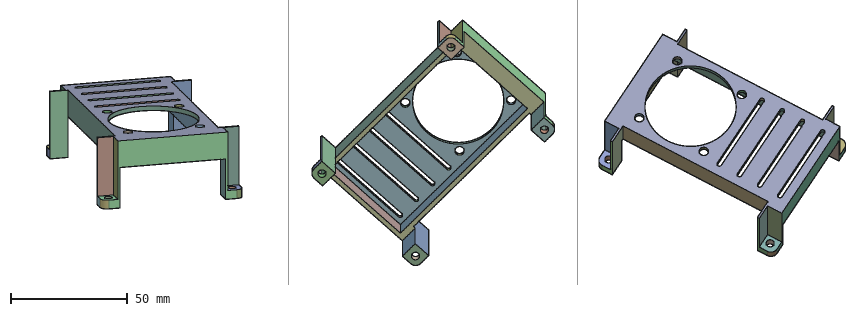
import cadquery as cq

length = 88.0
width = 63.0
height = 30.0

leg_size = 8.0
notch_size = 7.0
foot_height = 4.0
foot_radius = 3.0
foot_hole_diameter = 3.4
foot_hole_inset = 4.0

wall = 2.0
skirt_depth = 12.0
hood_front = leg_size - width / 2
leg_gap_back = 1.0
hood_back = width / 2 - leg_size - leg_gap_back
hood_width = hood_back - hood_front
hood_center_y = (hood_front + hood_back) / 2
cavity_end_wall = 7.0

fan_x = 16.0
fan_diameter = 39.0
fan_screw_pitch = 32.0
fan_screw_diameter = 4.0

slot_count = 4
slot_pitch = 10.0
slot_width = 2.0
slot_margin = 2 * wall
slot_length = hood_width - 2 * slot_margin
first_slot_x = -length / 2 + slot_margin + slot_width / 2


def block(x_min, x_max, y_min, y_max, z_min, z_max):
    """Axis-aligned box between the given limits."""
    size = (x_max - x_min, y_max - y_min, z_max - z_min)
    return cq.Workplane("XY").box(*size, centered=False).translate((x_min, y_min, z_min))


def make_hood():
    """Open-bottomed hood whose ends bridge the gap to the back legs."""
    half = length / 2
    skirt_bottom = height - skirt_depth
    hood = block(-half, half, hood_front, hood_back, skirt_bottom, height)
    leg_inner_y = width / 2 - leg_size
    for side in (-1, 1):
        x_min, x_max = sorted((side * (half - leg_size), side * half))
        hood = hood.union(block(x_min, x_max, hood_front, leg_inner_y, skirt_bottom, height))
    cavity = block(
        -half + wall, half - cavity_end_wall,
        hood_front + wall, hood_back - wall,
        skirt_bottom, height - wall,
    )
    return hood.cut(cavity)


def make_leg():
    """Leg at the +X, +Y corner: notched post, rounded foot and screw hole."""
    x_out = length / 2
    y_out = width / 2
    leg = block(x_out - leg_size, x_out, y_out - leg_size, y_out, 0, height)
    leg = leg.edges("|Z and >X and >Y").fillet(foot_radius)
    leg = leg.cut(block(x_out - notch_size, x_out, y_out - notch_size, y_out, foot_height, height))
    hole = (
        cq.Workplane("XY")
        .center(x_out - foot_hole_inset, y_out - foot_hole_inset)
        .circle(foot_hole_diameter / 2)
        .extrude(foot_height)
    )
    return leg.cut(hole)


def make_plate_openings():
    """Cutters for the fan opening, its screw holes and the slots."""
    plate = cq.Workplane("XY", origin=(0, hood_center_y, height))
    fan = plate.center(fan_x, 0)
    opening = fan.circle(fan_diameter / 2).extrude(-wall)
    screws = (
        fan.rect(fan_screw_pitch, fan_screw_pitch, forConstruction=True)
        .vertices()
        .circle(fan_screw_diameter / 2)
        .extrude(-wall)
    )
    slot_points = [(first_slot_x + i * slot_pitch, 0) for i in range(slot_count)]
    slots = plate.pushPoints(slot_points).slot2D(slot_length, slot_width, 90).extrude(-wall)
    return opening.union(screws).union(slots)


leg = make_leg()
leg_pair = leg.union(leg.mirror("YZ"))
legs = leg_pair.union(leg_pair.mirror("XZ"))

result = make_hood().union(legs).cut(make_plate_openings())